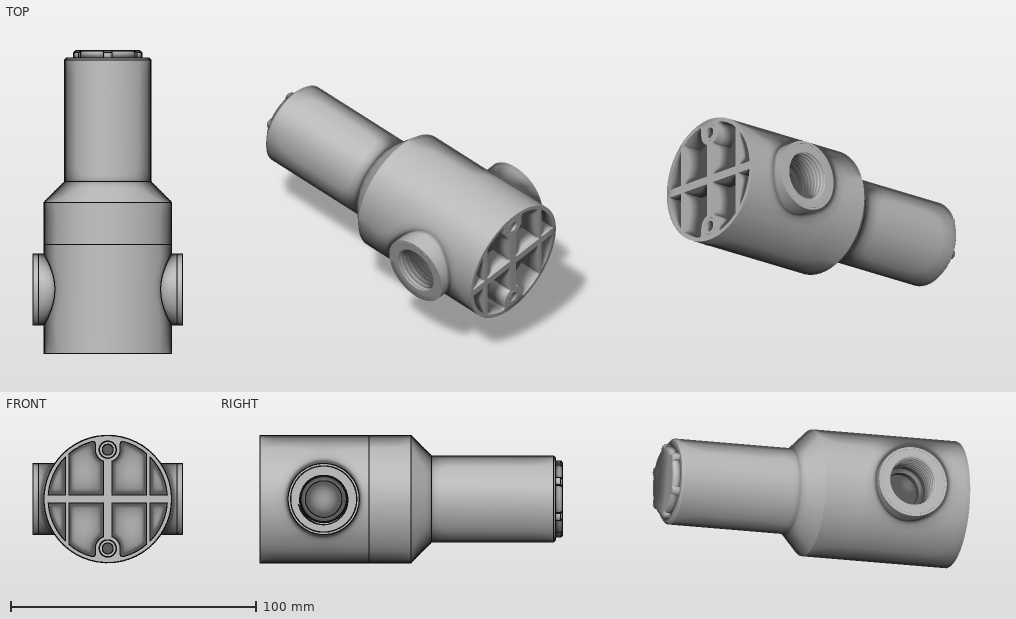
import cadquery as cq
import math

LENGTH = 123.5
BODY_DIAMETER = 52.0
BODY_LENGTH = 44.5

COLLAR_END = 61.6
TUBE_DIAMETER = 35.2
CONE_LENGTH = (BODY_DIAMETER - TUBE_DIAMETER) / 2
TUBE_CHAMFER = 0.9

CAP_HEIGHT = 3.0
CAP_DIAMETER = 28.0
CAP_EDGE_RADIUS = 1.6
GRIP_COUNT = 6
GRIP_FIRST_ANGLE = 30.0
GRIP_TIP_DIAMETER = 31.1
GRIP_WIDTH = 3.5
GRIP_CROWN = 0.9
GRIP_CHAMFER = 0.9
TUBE_END = LENGTH - CAP_HEIGHT

PORT_SPAN = 61.0
PORT_Y = 26.0
PORT_DIAMETER = 29.0
SPIGOT_DIAMETER = 26.9
RING_BORE = 27.0
RING_LENGTH = 2.3
PORT_TIP = PORT_SPAN / 2
RING_SEAT = PORT_TIP - RING_LENGTH

SOCKET_MOUTH_DIAMETER = 19.4
SOCKET_TAPER = 1 / 32
THREAD_PITCH = 1.9
THREAD_DEPTH = 0.9
THREAD_GROOVE_WIDTH = 1.6
THREAD_OVERLAP = 0.2
THREAD_TURNS = 8
THREAD_LENGTH = THREAD_TURNS * THREAD_PITCH
THREAD_RUN_OUT = THREAD_PITCH
SOCKET_DEPTH = 15.1
BORE_DIAMETER = 15.0
BORE_DEPTH = 18.5

POCKET_DEPTH = 9.8
POCKET_DIAMETER = 48.6
MAIN_RIB = 3.3
SIDE_RIB = 1.5
SIDE_RIB_X = 16.5

BOSS_Z = 20.1
BOSS_DIAMETER = 10.1
BOSS_ROOT_FILLET = 1.1
INSERT_HOLE = 7.0
INSERT_DIAMETER = 6.8
INSERT_BORE = 4.5
INSERT_LENGTH = POCKET_DEPTH

SIDES = (-1, 1)


def rod(diameter, start, end):
    """Cylinder around the Y axis between two Y positions."""
    return cq.Workplane("XZ", origin=(0, start, 0)).circle(diameter / 2).extrude(start - end)


def rod_at(z, diameter, start, end):
    """Cylinder parallel to Y in the plane X = 0, at height z."""
    return rod(diameter, start, end).translate((0, 0, z))


def port_rod(side, diameter, start, end):
    """Cylinder on the port axis, between two distances from the plane X = 0."""
    start_point = (side * start, PORT_Y, 0)
    return cq.Workplane("YZ", origin=start_point).circle(diameter / 2).extrude(side * (end - start))


def bar(x_size, z_size, x=0, z=0):
    """Straight rib of pocket depth standing behind the mounting face."""
    return cq.Workplane("XY").box(x_size, POCKET_DEPTH, z_size).translate((x, POCKET_DEPTH / 2, z))


def pockets():
    """Space between the outer wall, the ribs and the two screw bosses."""
    space = rod(POCKET_DIAMETER, 0, POCKET_DEPTH)
    wall_reach = BODY_DIAMETER / 2 - BOSS_Z
    for side in SIDES:
        boss_web = bar(BOSS_DIAMETER, wall_reach, z=side * (BOSS_Z + wall_reach / 2))
        space = space.cut(boss_web)
        space = space.cut(rod_at(side * BOSS_Z, BOSS_DIAMETER, 0, POCKET_DEPTH))

    wall_corner_z = math.sqrt(POCKET_DIAMETER**2 - BOSS_DIAMETER**2) / 2
    for side in SIDES:
        for end in SIDES:
            corner = (side * BOSS_DIAMETER / 2, POCKET_DEPTH / 2, end * wall_corner_z)
            space = space.edges(cq.NearestToPointSelector(corner)).fillet(BOSS_ROOT_FILLET)

    space = space.cut(bar(POCKET_DIAMETER, MAIN_RIB))
    space = space.cut(bar(MAIN_RIB, POCKET_DIAMETER))
    for side in SIDES:
        space = space.cut(bar(SIDE_RIB, POCKET_DIAMETER, x=side * SIDE_RIB_X))
    return space


def thread_groove():
    """Helical V groove of one port: mouth at the origin, running out past it along +Z."""
    inner_radius = SOCKET_MOUTH_DIAMETER / 2 - SOCKET_TAPER * THREAD_LENGTH - THREAD_OVERLAP
    tip_radius = inner_radius + THREAD_OVERLAP + THREAD_DEPTH
    start = THREAD_RUN_OUT - THREAD_LENGTH
    half_width = THREAD_GROOVE_WIDTH / 2
    taper_angle = math.degrees(math.atan(SOCKET_TAPER))
    base_point = cq.Vector(0, 0, start)
    helix = cq.Wire.makeHelix(THREAD_PITCH, THREAD_LENGTH, inner_radius, base_point, angle=taper_angle)
    profile = [(inner_radius, start - half_width), (tip_radius, start), (inner_radius, start + half_width)]
    return cq.Workplane("XZ").polyline(profile).close().sweep(cq.Workplane(helix), isFrenet=True)


def socket():
    """Tapered socket and blind bore of one port: mouth at the origin, going down along -Z."""
    mouth_radius = SOCKET_MOUTH_DIAMETER / 2
    bore_radius = BORE_DIAMETER / 2
    profile = [
        (0, 0),
        (mouth_radius, 0),
        (mouth_radius - SOCKET_TAPER * SOCKET_DEPTH, -SOCKET_DEPTH),
        (bore_radius, -SOCKET_DEPTH),
        (bore_radius, -BORE_DEPTH),
        (0, -BORE_DEPTH),
    ]
    return cq.Workplane("XZ").polyline(profile).close().revolve(360, (0, 0), (0, 1))


def moved_to_port(tool, side):
    """Turns a tool with its mouth at the origin so that it enters the port on the given side."""
    return tool.translate((0, 0, PORT_TIP)).rotate((0, 0, 0), (0, 1, 0), side * 90).translate((0, PORT_Y, 0))


def make_body():
    body = rod(BODY_DIAMETER, 0, BODY_LENGTH)
    for side in SIDES:
        body = body.union(port_rod(side, PORT_DIAMETER, 0, RING_SEAT))
        body = body.union(port_rod(side, SPIGOT_DIAMETER, 0, PORT_TIP))
    for side in SIDES:
        body = body.cut(moved_to_port(thread_groove(), side), clean=False)
        body = body.cut(moved_to_port(socket(), side), clean=False)
    body = body.cut(pockets())
    for side in SIDES:
        body = body.cut(rod_at(side * BOSS_Z, INSERT_HOLE, 0, INSERT_LENGTH))
    return body


def make_bonnet():
    body_radius = BODY_DIAMETER / 2
    tube_radius = TUBE_DIAMETER / 2
    profile = [
        (0, BODY_LENGTH),
        (body_radius, BODY_LENGTH),
        (body_radius, COLLAR_END),
        (tube_radius, COLLAR_END + CONE_LENGTH),
        (tube_radius, TUBE_END - TUBE_CHAMFER),
        (tube_radius - TUBE_CHAMFER, TUBE_END),
        (0, TUBE_END),
    ]
    return cq.Workplane("XY").polyline(profile).close().revolve(360, (0, 0), (0, 1))


def make_end_cap():
    cap = rod(CAP_DIAMETER, TUBE_END, LENGTH).faces(">Y").edges().fillet(CAP_EDGE_RADIUS)
    tip = GRIP_TIP_DIAMETER / 2
    half_width = GRIP_WIDTH / 2
    grip = (
        cq.Workplane("XZ", origin=(0, TUBE_END, 0))
        .moveTo(0, -half_width)
        .lineTo(tip - GRIP_CROWN, -half_width)
        .threePointArc((tip, 0), (tip - GRIP_CROWN, half_width))
        .lineTo(0, half_width)
        .close()
        .extrude(-CAP_HEIGHT)
        .faces(">Y")
        .edges("%CIRCLE")
        .chamfer(GRIP_CHAMFER)
    )
    for index in range(GRIP_COUNT):
        angle = GRIP_FIRST_ANGLE + index * 360 / GRIP_COUNT
        cap = cap.union(grip.rotate((0, 0, 0), (0, 1, 0), angle))
    return cap


def make_port_ring(side):
    ring = port_rod(side, PORT_DIAMETER, RING_SEAT, PORT_TIP)
    return ring.cut(port_rod(side, RING_BORE, RING_SEAT, PORT_TIP))


def make_insert(side):
    insert = rod_at(side * BOSS_Z, INSERT_DIAMETER, 0, INSERT_LENGTH)
    return insert.cut(rod_at(side * BOSS_Z, INSERT_BORE, 0, INSERT_LENGTH))


body = make_body()
bonnet = make_bonnet()
end_cap = make_end_cap()
port_rings = [make_port_ring(side).val() for side in SIDES]
inserts = [make_insert(side).val() for side in SIDES]

result = cq.Compound.makeCompound([body.val(), bonnet.val(), end_cap.val(), *port_rings, *inserts])